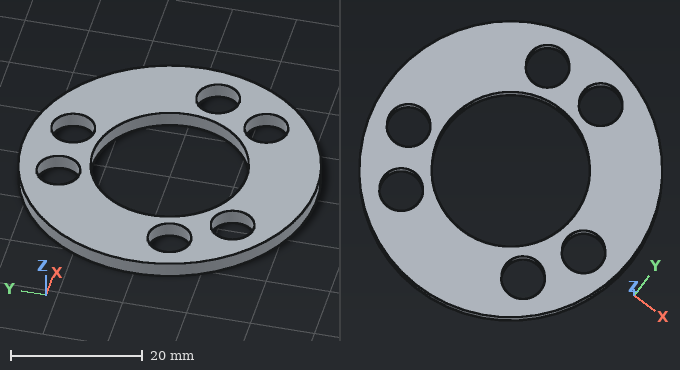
import cadquery as cq

outer_diameter = 46.0
bore_diameter = 24.0
thickness = 2.5

hole_diameter = 6.62
pitch_radius = 16.95
pair_count = 3
pair_spread_angle = 34.4
first_pair_angle = 90.9

ring = (
    cq.Workplane("XY")
    .circle(outer_diameter / 2)
    .circle(bore_diameter / 2)
    .extrude(thickness)
)


def hole_set(start_angle):
    """Cutters for one hole of every pair, starting at the given angle."""
    return (
        cq.Workplane("XY")
        .polarArray(pitch_radius, start_angle, 360, pair_count)
        .circle(hole_diameter / 2)
        .extrude(thickness)
    )


result = ring
for side in (-1, 1):
    result = result.cut(hole_set(first_pair_angle + side * pair_spread_angle / 2))